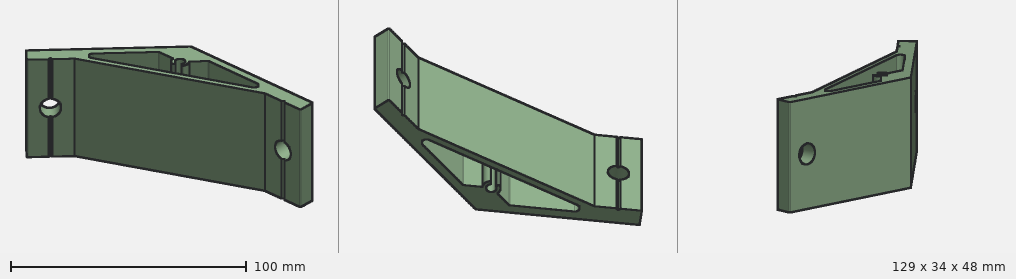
import cadquery as cq
import math

overall_width = 129.0
overall_depth = 34.0
height = 48.0

wing_angle = 22.5
wing_tip_radius = 0.5

cavity_wall = 4.0
cavity_floor_y = -23.4
cross_plate_thickness = 3.0
cavity_end_radius = 2.0
cavity_peak_x = 11.2
cavity_peak_radius = 0.5

boss_y = -13.4
boss_radius = 3.9
boss_bore_radius = 2.2
boss_opening_half_angle = 33.0
jaw_tip_radius = 0.4

hole_x = 52.4
hole_diameter = 9.0
groove_depth = 0.84

angle = math.radians(wing_angle)
sine = math.sin(angle)
cosine = math.cos(angle)
slope = math.tan(angle)
tip_overhang = wing_tip_radius * (sine + cosine - 1)
tip_x = overall_width / 2 + tip_overhang
tip_y = -tip_x * slope
wing_thickness = (overall_depth + tip_overhang + tip_y) / cosine
cross_plate_y = cavity_floor_y - cross_plate_thickness


def inner_face_y(x, thickness):
    """Y of the line lying a given thickness below the outer wing face."""
    return -thickness / cosine - x * slope


def inner_face_x(y, thickness):
    """Positive X where that same line reaches a given Y."""
    return (-thickness / cosine - y) / slope


def mirrored_prism(right_points):
    """Full-height prism whose outline is given by its right half."""
    left_points = [(-x, y) for x, y in reversed(right_points) if x > 0]
    return cq.Workplane("XY").polyline(right_points + left_points).close().extrude(height)


def round_edge_pairs(body, right_points, radius):
    """Fillet the upright edges at the given points and at their mirror images."""
    for side in (-1, 1):
        for x, y in right_points:
            edge = cq.selectors.NearestToPointSelector((side * x, y, height / 2))
            body = body.edges(edge).fillet(radius)
    return body


def make_body():
    tip_outer = (tip_x, tip_y)
    tip_inner = (tip_x - wing_thickness * sine, tip_y - wing_thickness * cosine)
    plate_end = (inner_face_x(cross_plate_y, wing_thickness), cross_plate_y)
    body = mirrored_prism([(0, 0), tip_outer, tip_inner, plate_end])
    return round_edge_pairs(body, [tip_outer, tip_inner], wing_tip_radius)


def make_cavity():
    peak = (cavity_peak_x, inner_face_y(cavity_peak_x, cavity_wall))
    hub_bottom = (0, peak[1] - cavity_peak_x * slope)
    end = (inner_face_x(cavity_floor_y, cavity_wall), cavity_floor_y)
    cavity = mirrored_prism([hub_bottom, peak, end])
    cavity = round_edge_pairs(cavity, [end], cavity_end_radius)
    return round_edge_pairs(cavity, [peak], cavity_peak_radius)


def make_boss_cylinder(radius):
    return cq.Workplane("XY").center(0, boss_y).circle(radius).extrude(height)


def make_boss():
    """C-shaped boss open toward the cross plate, with rounded jaw tips."""
    half_opening = math.radians(boss_opening_half_angle)
    wedge_half_width = boss_radius * math.tan(half_opening)
    wedge = mirrored_prism([(0, boss_y), (wedge_half_width, boss_y - boss_radius)])
    boss = make_boss_cylinder(boss_radius).cut(make_boss_cylinder(boss_bore_radius)).cut(wedge)
    jaw_corners = [
        (radius * math.sin(half_opening), boss_y - radius * math.cos(half_opening))
        for radius in (boss_bore_radius, boss_radius)
    ]
    return round_edge_pairs(boss, jaw_corners, jaw_tip_radius)


def make_wing_cut(side):
    """Hole square to the wing and the V groove through its centre."""
    origin = (side * hole_x, inner_face_y(hole_x, wing_thickness), 0)
    along_wing = (cosine, -side * sine, 0)
    face = cq.Plane(origin=origin, xDir=along_wing, normal=(0, 0, 1))
    groove_points = [(-groove_depth, 0), (0, groove_depth), (groove_depth, 0), (0, -groove_depth)]
    groove = cq.Workplane(face).polyline(groove_points).close().extrude(height)
    hole = (
        cq.Workplane(face)
        .transformed(rotate=(-90, 0, 0), offset=(0, 0, height / 2))
        .circle(hole_diameter / 2)
        .extrude(2 * wing_thickness, both=True)
    )
    return groove.union(hole)


result = make_body().cut(make_cavity()).union(make_boss())
result = result.cut(make_boss_cylinder(boss_bore_radius))
for wing_side in (-1, 1):
    result = result.cut(make_wing_cut(wing_side))